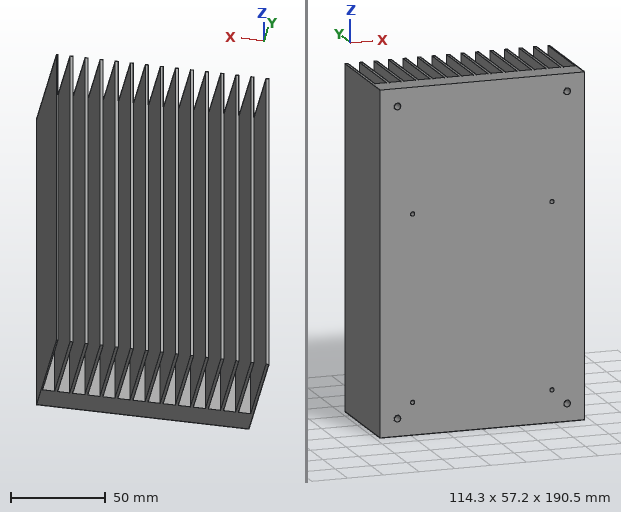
import cadquery as cq
import math

width = 114.3
depth = 57.2
height = 190.5

base_thickness = 13.3
fin_thickness = 1.62
last_fin_thickness = 0.8
slot_count = 14
fin_pitch = (width - last_fin_thickness) / slot_count

corner_hole_diameter = 3.6
corner_spacing_x = 94.9
corner_spacing_z = 170.9
inner_hole_diameter = 2.3
inner_spacing_x = 78.0
inner_spacing_z = 103.0
inner_centre_z = -25.7
hole_depth = 7.6
drill_point_angle = 118.0

mounting_face_y = -depth / 2
fin_root_y = mounting_face_y + base_thickness


def fin_slot(index):
    """Open slot between two neighbouring fins, over the full height."""
    slot_start_x = -width / 2 + index * fin_pitch + fin_thickness
    return (
        cq.Workplane("XY")
        .box(fin_pitch - fin_thickness, depth - base_thickness, height, centered=(False, False, True))
        .translate((slot_start_x, fin_root_y, 0))
    )


def drilled_holes(diameter, spacing_x, spacing_z, centre_z):
    """Four blind holes with conical drill points, in a rectangle on the mounting face."""
    radius = diameter / 2
    tip_length = radius / math.tan(math.radians(drill_point_angle / 2))
    bottom_y = mounting_face_y + hole_depth
    drill = (
        cq.Workplane("XY")
        .moveTo(0, mounting_face_y)
        .lineTo(radius, mounting_face_y)
        .lineTo(radius, bottom_y)
        .lineTo(0, bottom_y + tip_length)
        .close()
        .revolve(360, (0, 0, 0), (0, 1, 0))
    )
    holes = cq.Workplane("XY")
    for side_x in (-1, 1):
        for side_z in (-1, 1):
            place = (side_x * spacing_x / 2, 0, centre_z + side_z * spacing_z / 2)
            holes = holes.add(drill.translate(place))
    return holes.combine()


result = cq.Workplane("XY").box(width, depth, height)
for slot_index in range(slot_count):
    result = result.cut(fin_slot(slot_index))
result = result.cut(drilled_holes(corner_hole_diameter, corner_spacing_x, corner_spacing_z, 0))
result = result.cut(drilled_holes(inner_hole_diameter, inner_spacing_x, inner_spacing_z, inner_centre_z))